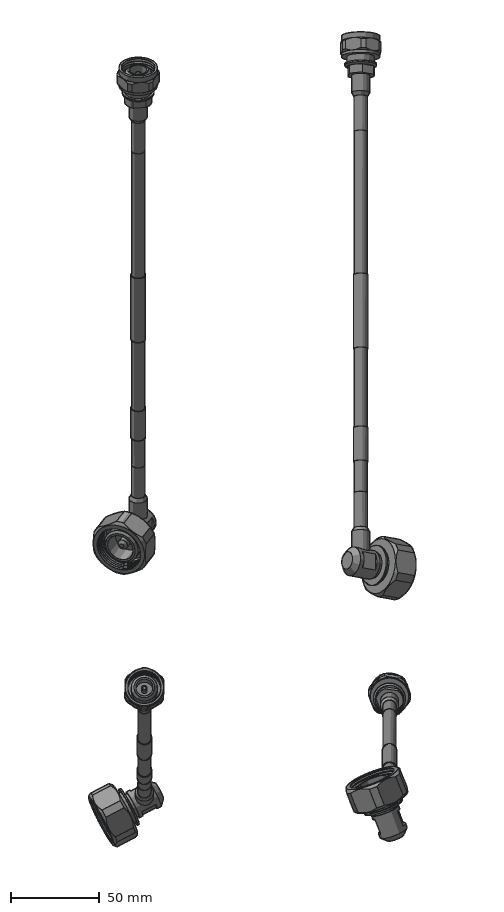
import cadquery as cq
import math

overall_height = 322.7

cable_diameter = 7.5
sleeve_diameter = 8.5
band_bottom = 58.7
band_height = 19.7
cable_insertion = 6.5

label_bottom = 124.2
label_height = 43.0

shrink_diameter = 7.7
shrink_length = 20.3

ferrule_diameter = 10.3
ferrule_taper_length = 2.3
ferrule_taper_depth = 1.3

thread_pitch = 1.5
thread_depth = 0.5

coupling_flats = 32.0
coupling_corner_diameter = 34.5
coupling_front = -27.5
coupling_length = 15.0
coupling_chamfer = 1.5
coupling_bore_diameter = 26.5
coupling_depth = 13.0
coupling_grooves = 6

elbow_diameter = 16.5
elbow_back = 9.7
elbow_front = -7.5
elbow_back_chamfer = 3.2
elbow_flat_distance = 6.8
elbow_flat_back = 4.0
elbow_flat_length = 9.0
elbow_neck_diameter = 15.0
elbow_flange_diameter = 23.0
elbow_flange_back = -9.5
elbow_flange_thickness = 1.0
elbow_shoulder_diameter = 19.5
elbow_ferrule_top = 20.3

elbow_contact_diameter = 20.5
elbow_contact_bore = 15.5
elbow_contact_length = 11.0
elbow_contact_bevel = 1.3
elbow_pin_diameter = 5.8
elbow_pin_length = 9.0
elbow_pin_bevel = 1.5

nut_top = overall_height - coupling_corner_diameter / 2
nut_flats = 22.0
nut_corner_diameter = 24.0
nut_rim_diameter = 21.5
nut_height = 12.0
nut_hex_top_drop = 3.2
nut_hex_height = 7.0
nut_chamfer = 1.0
nut_bore_diameter = 18.7
nut_depth = 10.3
nut_grooves = 5

body_diameter = 15.5
body_bottom = 282.7
body_flat_distance = 6.8
body_flat_top = 288.0
body_flat_angles = (60, 180, 300)
flange_diameter = 18.0
flange_top = 289.5
flange_thickness = 1.0
flange_taper = 1.0
straight_ferrule_bottom = 270.5

straight_contact_diameter = 15.0
straight_contact_bore = 9.7
straight_contact_length = 8.7
straight_contact_bevel = 1.5
straight_pin_diameter = 3.2
straight_pin_length = 7.0
straight_pin_bevel = 0.5

hexagon_sides = 6
hexagon_turn = 180 / hexagon_sides


def cylinder(diameter, start, length):
    """A cylinder along Z, starting at the given height."""
    return cq.Workplane("XY", origin=(0, 0, start)).circle(diameter / 2).extrude(length)


def ring(outer_diameter, inner_diameter, start, length):
    """A tube along Z."""
    return cylinder(outer_diameter, start, length).cut(cylinder(inner_diameter, start, length))


def hexagon(flats, start, length):
    """A hexagonal prism along Z with two of its flats facing along X."""
    corners = flats / math.cos(math.pi / hexagon_sides)
    prism = cq.Workplane("XY", origin=(0, 0, start)).polygon(hexagon_sides, corners).extrude(length)
    return prism.rotate((0, 0, 0), (0, 0, 1), hexagon_turn)


def flat_cutter(diameter, distance, start, length):
    """A block along Z that mills a flat facing +X, at a distance from the axis, on a round body."""
    block = cq.Workplane("XY").box(diameter, diameter, length, centered=(False, True, False))
    return block.translate((distance, 0, start))


def threaded_bore(bore_diameter, floor, mouth, groove_count):
    """The space inside a nut: a bore along Z with V-shaped ring grooves from its mouth down."""
    bore_radius = bore_diameter / 2
    profile = cq.Workplane("XZ").moveTo(0, floor).lineTo(0, mouth).lineTo(bore_radius, mouth)
    for index in range(groove_count):
        groove_top = mouth - index * thread_pitch
        profile = profile.lineTo(bore_radius + thread_depth, groove_top - thread_pitch / 2)
        profile = profile.lineTo(bore_radius, groove_top - thread_pitch)
    return profile.lineTo(bore_radius, floor).close().revolve(360, (0, 0, 0), (0, 1, 0))


def contacts(tube_diameter, tube_bore, tube_length, tube_bevel, pin_diameter, pin_length, pin_bevel, floor):
    """A bevelled outer contact tube and center pin standing along Z on the floor of a nut."""
    tube = cylinder(tube_diameter, floor, tube_length).faces(">Z").chamfer(tube_bevel)
    tube = tube.cut(cylinder(tube_bore, floor, tube_length))
    pin = cylinder(pin_diameter, floor, pin_length).faces(">Z").chamfer(pin_bevel)
    return tube, pin


def ferrule(mouth, root):
    """A crimp ferrule along Z between two heights, tapered at the mouth where the cable enters."""
    length = abs(root - mouth)
    mouth_face = ">Z" if mouth > root else "<Z"
    sleeve = cylinder(ferrule_diameter, min(mouth, root), length)
    return sleeve.faces(mouth_face).chamfer(ferrule_taper_length, ferrule_taper_depth)


def make_cable():
    bottom = elbow_ferrule_top - cable_insertion
    top = straight_ferrule_bottom + cable_insertion
    band = cylinder(sleeve_diameter, band_bottom, band_height)
    return cylinder(cable_diameter, bottom, top - bottom).union(band)


def make_label():
    return ring(sleeve_diameter, cable_diameter, label_bottom, label_height)


def make_shrink_tube(bottom):
    return ring(shrink_diameter, cable_diameter, bottom, shrink_length)


def make_straight_nut():
    hex_top = nut_top - nut_hex_top_drop
    hex_bottom = hex_top - nut_hex_height
    corners = cylinder(nut_corner_diameter, hex_bottom, nut_hex_height).faces("<Z or >Z").chamfer(nut_chamfer)
    nut = hexagon(nut_flats, hex_bottom, nut_hex_height).intersect(corners)
    return nut.union(cylinder(nut_rim_diameter, nut_top - nut_height, nut_height))


def make_straight_body():
    body = cylinder(body_diameter, body_bottom, nut_top - nut_height - body_bottom)
    flat_cut = flat_cutter(body_diameter, body_flat_distance, body_bottom, body_flat_top - body_bottom)
    for angle in body_flat_angles:
        body = body.cut(flat_cut.rotate((0, 0, 0), (0, 0, 1), angle))
    flange_height = flange_thickness + flange_taper
    flange = cylinder(flange_diameter, flange_top - flange_height, flange_height)
    return body.union(flange.faces("<Z").chamfer(flange_taper))


def make_straight_connector(cable):
    floor = nut_top - nut_depth
    connector = make_straight_nut().union(make_straight_body())
    connector = connector.union(ferrule(straight_ferrule_bottom, body_bottom))
    connector = connector.cut(threaded_bore(nut_bore_diameter, floor, nut_top, nut_grooves))
    tube, pin = contacts(
        straight_contact_diameter, straight_contact_bore, straight_contact_length, straight_contact_bevel,
        straight_pin_diameter, straight_pin_length, straight_pin_bevel, floor,
    )
    return connector.union(tube).union(pin).cut(cable)


def make_coupling():
    """The elbow's nut and contacts, built along Z with the mouth up, to be turned toward -Y."""
    mouth = -coupling_front
    back = mouth - coupling_length
    floor = mouth - coupling_depth
    corners = cylinder(coupling_corner_diameter, back, coupling_length)
    corners = corners.faces("<Z or >Z").chamfer(coupling_chamfer)
    nut = hexagon(coupling_flats, back, coupling_length).intersect(corners)
    nut = nut.cut(threaded_bore(coupling_bore_diameter, floor, mouth, coupling_grooves))
    tube, pin = contacts(
        elbow_contact_diameter, elbow_contact_bore, elbow_contact_length, elbow_contact_bevel,
        elbow_pin_diameter, elbow_pin_length, elbow_pin_bevel, floor,
    )
    return nut.union(tube).union(pin)


def make_elbow_body():
    """The elbow's round body with two side flats, built along Z with its front up, to be turned toward -Y."""
    body = cylinder(elbow_diameter, -elbow_back, elbow_back - elbow_front)
    body = body.faces("<Z").chamfer(elbow_back_chamfer)
    flat_cut = flat_cutter(elbow_diameter, elbow_flat_distance, -elbow_flat_back, elbow_flat_length)
    body = body.cut(flat_cut).cut(flat_cut.mirror("YZ"))
    flange_start = -elbow_flange_back
    shoulder_start = flange_start + elbow_flange_thickness
    coupling_back = -coupling_front - coupling_length
    neck = cylinder(elbow_neck_diameter, -elbow_front, flange_start + elbow_front)
    flange = cylinder(elbow_flange_diameter, flange_start, elbow_flange_thickness)
    shoulder = cylinder(elbow_shoulder_diameter, shoulder_start, coupling_back - shoulder_start)
    return body.union(neck).union(flange).union(shoulder)


def make_elbow_connector(cable):
    along_y = make_elbow_body().union(make_coupling()).rotate((0, 0, 0), (1, 0, 0), 90)
    return along_y.union(ferrule(elbow_ferrule_top, 0)).cut(cable)


cable = make_cable()
label = make_label()
shrink_bottoms = (elbow_ferrule_top, straight_ferrule_bottom - shrink_length)
shrink_tubes = [make_shrink_tube(bottom).val() for bottom in shrink_bottoms]
straight_connector = make_straight_connector(cable)
elbow_connector = make_elbow_connector(cable)

result = cq.Compound.makeCompound(
    [cable.val(), label.val(), *shrink_tubes, straight_connector.val(), elbow_connector.val()]
)